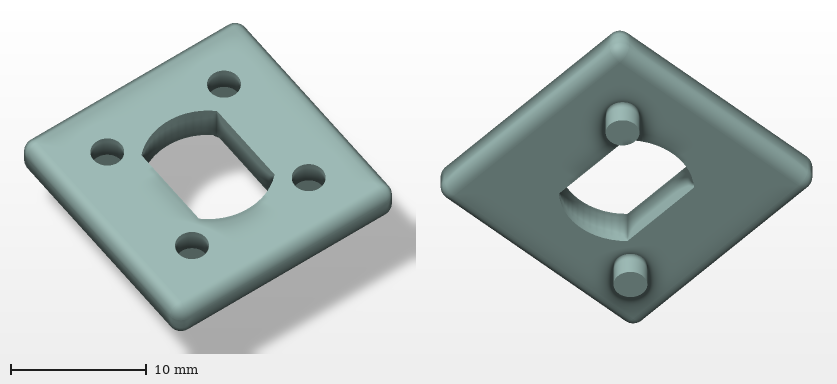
import cadquery as cq

plate_side = 20.0
plate_thickness = 3.0
edge_radius = 1.0

opening_diameter = 10.0
opening_flat_distance = 6.9

peg_diameter = 2.5
peg_length = 2.0
peg_spacing = 10.65
socket_depth = peg_length


def rounded_plate():
    plate = cq.Workplane("XY").box(
        plate_side, plate_side, plate_thickness, centered=(True, True, False)
    )
    return plate.edges().fillet(edge_radius)


def flatted_opening():
    cylinder = cq.Workplane("XY").circle(opening_diameter / 2).extrude(plate_thickness)
    band = cq.Workplane("XY").rect(opening_diameter, opening_flat_distance).extrude(plate_thickness)
    return cylinder.intersect(band)


def peg_cylinders(centers, bottom, height):
    """Peg-sized upright cylinders at the given centers."""
    return (
        cq.Workplane("XY", origin=(0, 0, bottom))
        .pushPoints(centers)
        .circle(peg_diameter / 2)
        .extrude(height)
    )


offset = peg_spacing / 2
peg_centers = [(offset, -offset), (-offset, offset)]
socket_centers = peg_centers + [(-offset, -offset), (offset, offset)]

pegs = peg_cylinders(peg_centers, -peg_length, peg_length)
sockets = peg_cylinders(socket_centers, plate_thickness - socket_depth, socket_depth)

result = rounded_plate().cut(flatted_opening()).union(pegs).cut(sockets)